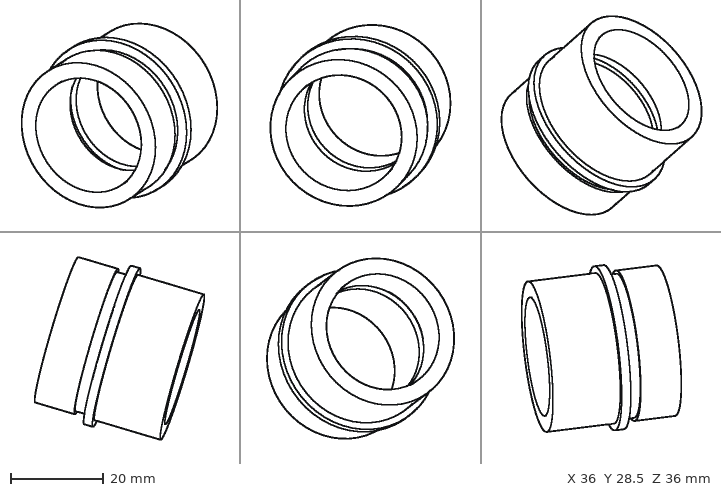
import cadquery as cq

flange_diameter = 36.0
body_diameter = 33.0
groove_diameter = 31.6
bore_diameter = 26.0
inner_groove_diameter = 28.7

total_length = 28.5
front_length = 9.0
groove_width = 2.55
flange_width = 2.0
inner_groove_start = 15.8
inner_groove_width = 2.8


def cylinder(diameter, start, length):
    """Cylinder on the Y axis that runs from start towards +Y."""
    plane = cq.Plane(origin=(0, start, 0), xDir=(1, 0, 0), normal=(0, 1, 0))
    return cq.Workplane(plane).circle(diameter / 2).extrude(length)


flange_start = front_length + groove_width
rear_start = flange_start + flange_width
sleeve = (
    cylinder(body_diameter, 0, front_length)
    .union(cylinder(groove_diameter, front_length, groove_width))
    .union(cylinder(flange_diameter, flange_start, flange_width))
    .union(cylinder(body_diameter, rear_start, total_length - rear_start))
)

bore = cylinder(bore_diameter, 0, total_length)
inner_groove = cylinder(inner_groove_diameter, inner_groove_start, inner_groove_width)

result = sleeve.cut(bore).cut(inner_groove)